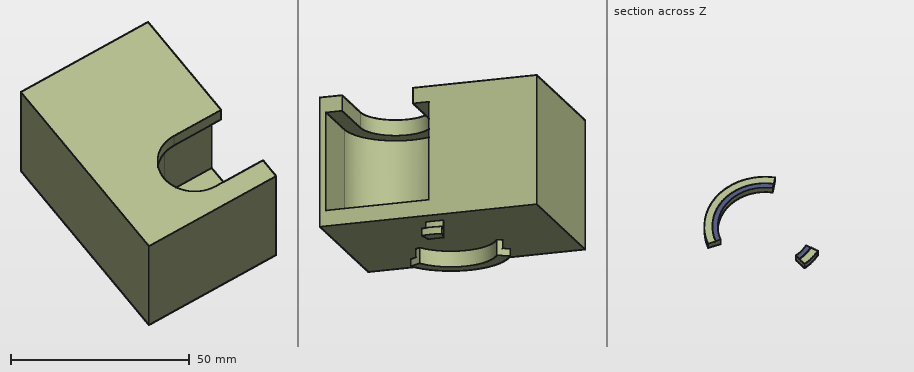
import cadquery as cq
import math

length = 64.0
width = 43.0
body_height = 38.1

slot_x = 47.0
slot_radius = 10.4
slot_reach = 26.4
lip_thickness = 4.6
cavity_side_wall = 1.85
cavity_floor = lip_thickness
slot_y = width - slot_reach + slot_radius
cavity_radius = length - cavity_side_wall - slot_x

hook_x = length / 2
hook_y = 23.0
hook_inner_radius = 13.2
neck_radius = 14.8
flange_radius = 17.0
neck_height = 2.5
flange_height = 2.1
front_hook_span = 120.0
back_hook_span = 20.0


def rounded_slot(radius, bottom, top):
    """Slot with a round front end, running out through the back face."""
    return (
        cq.Workplane("XY", origin=(slot_x, 0, bottom))
        .moveTo(-radius, width)
        .lineTo(-radius, slot_y)
        .threePointArc((0, slot_y - radius), (radius, slot_y))
        .lineTo(radius, width)
        .close()
        .extrude(top - bottom)
    )


def polar_point(radius, angle):
    """Point at an angle in degrees, counted from +X."""
    radians = math.radians(angle)
    return radius * math.cos(radians), radius * math.sin(radians)


def ring_sector(outer_radius, middle, span, height):
    """Part of a flat ring about the hook axis, hanging below the body."""
    start = middle - span / 2
    end = middle + span / 2
    return (
        cq.Workplane("XY", origin=(hook_x, hook_y, 0))
        .moveTo(*polar_point(hook_inner_radius, start))
        .lineTo(*polar_point(outer_radius, start))
        .threePointArc(polar_point(outer_radius, middle), polar_point(outer_radius, end))
        .lineTo(*polar_point(hook_inner_radius, end))
        .threePointArc(polar_point(hook_inner_radius, middle), polar_point(hook_inner_radius, start))
        .close()
        .extrude(-height)
    )


def hook(middle, span):
    """Neck with an outward flange at its lower end."""
    neck = ring_sector(neck_radius, middle, span, neck_height)
    flange = ring_sector(flange_radius, middle, span, flange_height)
    return neck.union(flange.translate((0, 0, -neck_height)))


body = cq.Workplane("XY").box(length, width, body_height, centered=False)
lip_underside = body_height - lip_thickness
body = body.cut(rounded_slot(cavity_radius, cavity_floor, lip_underside))
body = body.cut(rounded_slot(slot_radius, lip_underside, body_height))

front_hook = hook(270, front_hook_span)
back_hook = hook(90, back_hook_span)

result = body.union(front_hook).union(back_hook)